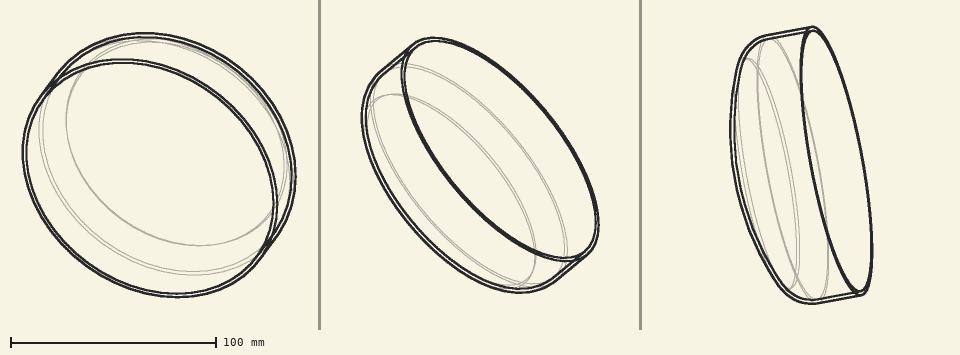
import cadquery as cq
import math

outer_diameter = 133.0
wall = 2.0
skirt_length = 22.0
crown_inner_radius = outer_diameter
knuckle_inner_radius = 0.1 * outer_diameter

inner_radius = outer_diameter / 2 - wall
knuckle_center_x = inner_radius - knuckle_inner_radius
center_distance = crown_inner_radius - knuckle_inner_radius
crown_center_y = skirt_length - math.sqrt(center_distance**2 - knuckle_center_x**2)
joint_angle = math.acos(knuckle_center_x / center_distance)
knuckle_outer_radius = knuckle_inner_radius + wall
crown_outer_radius = crown_inner_radius + wall


def knuckle_point(radius, angle):
    return (
        knuckle_center_x + radius * math.cos(angle),
        skirt_length + radius * math.sin(angle),
    )


def revolve_about_y(profile):
    return profile.close().revolve(360, (0, 0, 0), (0, 1, 0))


def skirt_and_knuckle():
    """Ring-shaped wall from the rim up to the joint with the crown."""
    profile = (
        cq.Workplane("XY")
        .moveTo(inner_radius, 0)
        .lineTo(outer_diameter / 2, 0)
        .lineTo(outer_diameter / 2, skirt_length)
        .threePointArc(
            knuckle_point(knuckle_outer_radius, joint_angle / 2),
            knuckle_point(knuckle_outer_radius, joint_angle),
        )
        .lineTo(*knuckle_point(knuckle_inner_radius, joint_angle))
        .threePointArc(
            knuckle_point(knuckle_inner_radius, joint_angle / 2),
            (inner_radius, skirt_length),
        )
    )
    return revolve_about_y(profile)


def crown():
    """Spherical shell inside the cone that spreads from the crown centre to the joint."""
    cone_height = 2 * crown_outer_radius
    cone_radius = cone_height / math.tan(joint_angle)
    cone = revolve_about_y(
        cq.Workplane("XY").lineTo(cone_radius, cone_height).lineTo(0, cone_height)
    )
    outer_sphere = cq.Workplane("XY").sphere(crown_outer_radius)
    inner_sphere = cq.Workplane("XY").sphere(crown_inner_radius)
    shell = cone.intersect(outer_sphere).cut(inner_sphere)
    return shell.translate((0, crown_center_y, 0))


result = skirt_and_knuckle().union(crown())